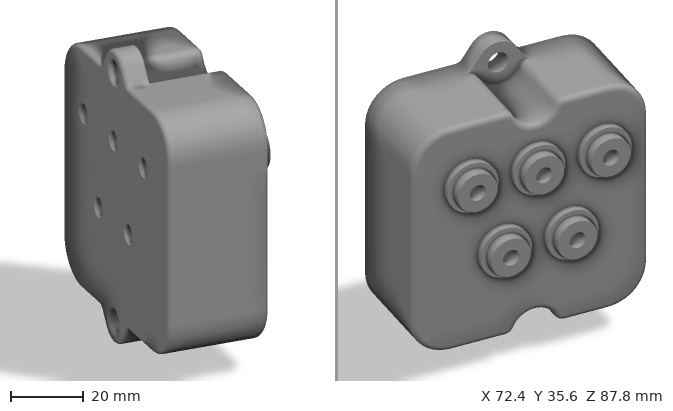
import cadquery as cq
import math

body_side = 72.4
corner_radius = 12.0
body_depth = 30.3
cover_thickness = 3.2
housing_depth = body_depth - cover_thickness
front_fillet = 1.2
back_fillet = 1.75
half_side = body_side / 2

total_height = 87.75
ear_x = -1.75
ear_radius = 6.6
ear_thickness = 6.85
ear_blend_radius = 2.55
ear_blend_x = 10.2
ear_z = total_height / 2 - ear_radius
mount_hole_diameter = 6.3

groove_radius = 7.0
groove_lip_radius = 3.0

boss_pitch = 20.45
upper_row_z = 16.85
row_spacing = 24.0
collar_diameter = 15.7
collar_top = 32.55
spigot_diameter = 12.1
spigot_top = 35.6
bore_diameter = 5.0
bore_chamfer = 0.5
lower_row_z = upper_row_z - row_spacing
upper_centers = [(ear_x + step * boss_pitch, upper_row_z) for step in (-1, 0, 1)]
lower_centers = [(ear_x + step * boss_pitch, lower_row_z) for step in (-0.5, 0.5)]
boss_centers = upper_centers + lower_centers


def front_plane(y):
    """Sketch plane facing -Y at depth y, with sketch axes along X and Z."""
    return cq.Workplane("XZ", origin=(0, y, 0))


def prism(sketch, depth):
    """Extrude a sketch on a front plane towards +Y."""
    return sketch.extrude(-depth)


def both_ends(solid):
    """Add the copy mirrored to the bottom edge."""
    return solid.union(solid.mirror("XY"))


def cylinders(centers, diameter, y_start, y_end):
    """Equal round prisms between two depths, one at each (X, Z) center."""
    return prism(front_plane(y_start).pushPoints(centers).circle(diameter / 2), y_end - y_start)


def block(y_start, y_end):
    """Rounded square block between two depths."""
    blank = prism(front_plane(y_start).rect(body_side, body_side), y_end - y_start)
    return blank.edges("|Y").fillet(corner_radius)


def ears():
    """Round ears whose straight flanks blend into the block's edge."""
    blend_rise = ear_z - (half_side + ear_blend_radius)
    center_distance = math.hypot(ear_blend_x, blend_rise)
    tangent_angle = math.asin((ear_radius + ear_blend_radius) / center_distance)
    flank_angle = tangent_angle + math.atan2(blend_rise, ear_blend_x)

    def ear_point(angle):
        return ear_x + ear_radius * math.sin(angle), ear_z + ear_radius * math.cos(angle)

    def blend_point(side, angle):
        x = ear_x + side * (ear_blend_x - ear_blend_radius * math.sin(angle))
        return x, half_side + ear_blend_radius * (1 - math.cos(angle))

    ear = (
        front_plane(0)
        .moveTo(*blend_point(-1, 0))
        .threePointArc(blend_point(-1, flank_angle / 2), blend_point(-1, flank_angle))
        .lineTo(*ear_point(-flank_angle))
        .threePointArc(ear_point(0), ear_point(flank_angle))
        .lineTo(*blend_point(1, flank_angle))
        .threePointArc(blend_point(1, flank_angle / 2), blend_point(1, 0))
        .close()
    )
    return both_ends(prism(ear, ear_thickness))


def grooves():
    """Round-bottomed grooves concentric with the mounting holes, with rounded lips."""
    lip_z = half_side - groove_lip_radius
    center_distance = groove_radius + groove_lip_radius
    lip_angle = math.acos((ear_z - lip_z) / center_distance)
    lip_x = center_distance * math.sin(lip_angle)

    def floor_point(angle):
        return ear_x + groove_radius * math.sin(angle), ear_z - groove_radius * math.cos(angle)

    def lip_point(side, angle):
        x = ear_x + side * (lip_x - groove_lip_radius * math.sin(angle))
        return x, lip_z + groove_lip_radius * math.cos(angle)

    groove = (
        front_plane(ear_thickness)
        .moveTo(*lip_point(-1, 0))
        .threePointArc(lip_point(-1, lip_angle / 2), lip_point(-1, lip_angle))
        .threePointArc(floor_point(0), floor_point(lip_angle))
        .threePointArc(lip_point(1, lip_angle / 2), lip_point(1, 0))
        .lineTo(ear_x + lip_x, ear_z)
        .lineTo(ear_x - lip_x, ear_z)
        .close()
    )
    return both_ends(prism(groove, body_depth - ear_thickness))


def smallest_front_rims(solid):
    """Rims of the smallest holes in the front face."""
    return solid.faces("<Y").edges(cq.selectors.RadiusNthSelector(0))


def make_housing():
    """Block with ears, rounded mounting holes and chamfered bores."""
    housing = block(0, housing_depth).cut(grooves()).union(ears())
    housing = housing.faces("<Y").edges().fillet(front_fillet)

    mount_centers = [(ear_x, ear_z), (ear_x, -ear_z)]
    housing = housing.cut(cylinders(mount_centers, mount_hole_diameter, 0, ear_thickness))
    housing = smallest_front_rims(housing).fillet(front_fillet)

    housing = housing.cut(cylinders(boss_centers, bore_diameter, 0, housing_depth))
    return smallest_front_rims(housing).chamfer(bore_chamfer)


def make_cover():
    """Plate with a rounded back rim and stepped bosses with through bores."""
    cover = block(housing_depth, body_depth).cut(grooves())
    cover = cover.faces(">Y").edges().fillet(back_fillet)
    cover = cover.union(cylinders(boss_centers, collar_diameter, body_depth, collar_top))
    cover = cover.union(cylinders(boss_centers, spigot_diameter, collar_top, spigot_top))
    return cover.cut(cylinders(boss_centers, bore_diameter, housing_depth, spigot_top))


housing = make_housing().solids()
cover = make_cover().solids()

result = cq.Compound.makeCompound([housing.val(), cover.val()])